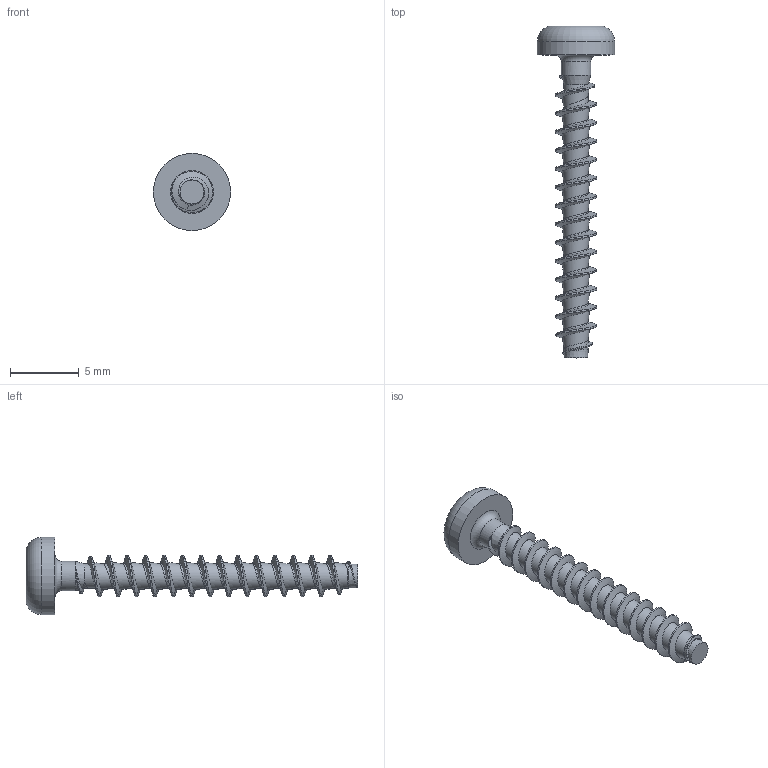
import math

import cadquery as cq


head_radius = 2.8
head_height = 2.1
rim_height = 0.97
crown_radius = 1.16
crown_height = head_height - rim_height

fillet_radius = 0.48
shank_radius = 1.07
shank_end_depth = 1.48
core_radius = 0.88
core_start_depth = 2.15
taper_start_depth = 21.3
tip_radius = 0.86
length = 22.0

pitch = 1.34
crest_radius = 1.5
crest_half_width = 0.055
flank_half_width = 0.2
root_shoulder_radius = 1.0
root_gap = 0.04
root_ramp_end = pitch - flank_half_width - root_gap
root_ramp_end_radius = 0.87
buried_radius = 0.8
turn_start_depth = 2.9
thread_start_depth = 0.5
run_in_end_depth = 2.9
run_in_start_share = 0.3
run_out_start_depth = 20.2
turn_count = 16
thread_end_depth = thread_start_depth + turn_count * pitch
run_out_end_share = 0.08
points_per_turn = 16


def make_body():
    """Revolve the head, shank, core and tip as one outline of (radius, y)."""
    crown_center_radius = head_radius - crown_radius
    top_angle = math.asin(crown_height / crown_radius)
    flat_radius = crown_center_radius + crown_radius * math.cos(top_angle)
    crown_mid = (
        crown_center_radius + crown_radius * math.cos(top_angle / 2),
        rim_height + crown_radius * math.sin(top_angle / 2),
    )
    fillet_mid_offset = fillet_radius * (1 - math.sqrt(0.5))
    return (
        cq.Workplane("XY")
        .moveTo(0, head_height)
        .lineTo(flat_radius, head_height)
        .threePointArc(crown_mid, (head_radius, rim_height))
        .lineTo(head_radius, 0)
        .lineTo(shank_radius + fillet_radius, 0)
        .threePointArc(
            (shank_radius + fillet_mid_offset, -fillet_mid_offset),
            (shank_radius, -fillet_radius),
        )
        .lineTo(shank_radius, -shank_end_depth)
        .lineTo(core_radius, -core_start_depth)
        .lineTo(core_radius, -taper_start_depth)
        .lineTo(tip_radius, -length)
        .lineTo(0, -length)
        .close()
        .revolve(360, (0, 0, 0), (0, 1, 0))
    )


def thread_share(depth):
    """Share of the full thread size at a depth, reduced in the run-in and run-out."""
    if depth < run_in_end_depth:
        progress = (run_in_end_depth - depth) / (run_in_end_depth - thread_start_depth)
        return 1 - (1 - run_in_start_share) * progress
    if depth > run_out_start_depth:
        progress = (depth - run_out_start_depth) / (thread_end_depth - run_out_start_depth)
        return 1 - (1 - run_out_end_share) * progress
    return 1


def helix_edge(offset, full_radius, start_depth):
    """One turn of a right-handed helix along one corner of the thread profile.

    The offset is measured from the crest towards the tip.
    """
    points = []
    for step in range(points_per_turn + 1):
        depth = start_depth + pitch * step / points_per_turn
        angle = 2 * math.pi * (depth - turn_start_depth) / pitch
        share = thread_share(depth)
        radius = buried_radius + (full_radius - buried_radius) * share
        points.append(
            cq.Vector(-radius * math.cos(angle), -depth - offset * share, -radius * math.sin(angle))
        )
    return cq.Edge.makeSpline(points)


def end_cap(edges, end):
    """Flat face across the profile at the start (0) or the end (1) of its edges."""
    corners = [edge.positionAt(end) for edge in edges]
    return cq.Face.makeFromWires(cq.Wire.makePolygon(corners, close=True))


def make_thread():
    """Thread ridge with a shallow root ramp falling away on its tip side."""
    profile = [
        (-flank_half_width, buried_radius),
        (-crest_half_width, crest_radius),
        (crest_half_width, crest_radius),
        (flank_half_width, root_shoulder_radius),
        (root_ramp_end, root_ramp_end_radius),
    ]
    turns = [
        [helix_edge(offset, radius, thread_start_depth + turn * pitch) for offset, radius in profile]
        for turn in range(turn_count)
    ]
    faces = [end_cap(turns[0], 0), end_cap(turns[-1], 1)]
    for edges in turns:
        for edge, next_edge in zip(edges, edges[1:] + edges[:1]):
            faces.append(cq.Face.makeRuledSurface(edge, next_edge))
    ridge = cq.Solid.makeSolid(cq.Shell.makeShell(faces))

    threaded_length = length - shank_end_depth
    limits = cq.Solid.makeCylinder(
        head_radius, threaded_length, cq.Vector(0, -length, 0), cq.Vector(0, 1, 0)
    )
    return cq.Workplane(obj=ridge.intersect(limits))


result = make_body().union(make_thread()).solids()